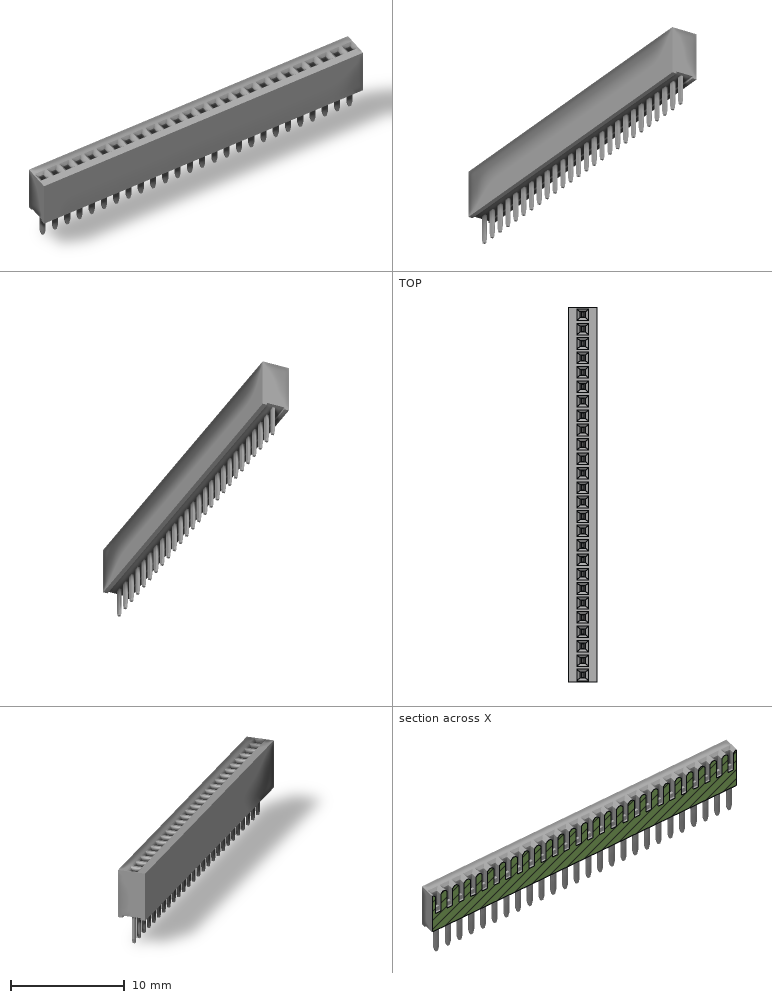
import cadquery as cq

length = 33.02
contact_count = 26
pitch = length / contact_count

overall_height = 7.0
body_width = 2.55
body_height = 4.5
body_bottom = overall_height - body_height
foot_width = 0.43
foot_height = 0.2
channel_top = body_bottom + foot_height

mouth_size = 1.02
throat_size = 0.53
funnel_depth = (mouth_size - throat_size) / 2
throat_depth = 1.98
throat_floor = overall_height - funnel_depth - throat_depth

pin_thickness = 0.23
pin_width = 0.5
pin_tip_width = 0.23
pin_tip_height = 0.45
stub_width = 0.43
stub_height = 0.5

contact_positions = [
    (0, (index - (contact_count - 1) / 2) * pitch) for index in range(contact_count)
]


def make_housing():
    """Rectangular bar with a shallow channel underneath that leaves a foot along each side."""
    bar = cq.Workplane("XY").workplane(offset=body_bottom).rect(body_width, length).extrude(body_height)
    channel = (
        cq.Workplane("XY")
        .workplane(offset=body_bottom)
        .rect(body_width - 2 * foot_width, length)
        .extrude(foot_height)
    )
    return bar.cut(channel)


def make_opening():
    """Square lead-in funnel that narrows to a straight blind throat."""
    funnel = (
        cq.Workplane("XY")
        .workplane(offset=overall_height)
        .rect(mouth_size, mouth_size)
        .workplane(offset=-funnel_depth)
        .rect(throat_size, throat_size)
        .loft()
    )
    throat = (
        cq.Workplane("XY")
        .workplane(offset=overall_height - funnel_depth)
        .rect(throat_size, throat_size)
        .extrude(-throat_depth)
    )
    return funnel.union(throat)


def make_pin():
    """Flat pin with a tapered blunt tip; a narrower stub of it stands on the throat floor."""
    right_side = [
        (pin_tip_width / 2, 0),
        (pin_width / 2, pin_tip_height),
        (pin_width / 2, throat_floor),
        (stub_width / 2, throat_floor),
        (stub_width / 2, throat_floor + stub_height),
    ]
    left_side = [(-y, z) for y, z in reversed(right_side)]
    outline = right_side + left_side
    return cq.Workplane("YZ").polyline(outline).close().extrude(pin_thickness / 2, both=True)


def at_each_contact(shape):
    """One copy of a single-contact shape at every contact position."""
    solid = shape.val()
    return cq.Workplane("XY").pushPoints(contact_positions).eachpoint(lambda place: solid.moved(place))


result = make_housing().cut(at_each_contact(make_opening())).union(at_each_contact(make_pin()))